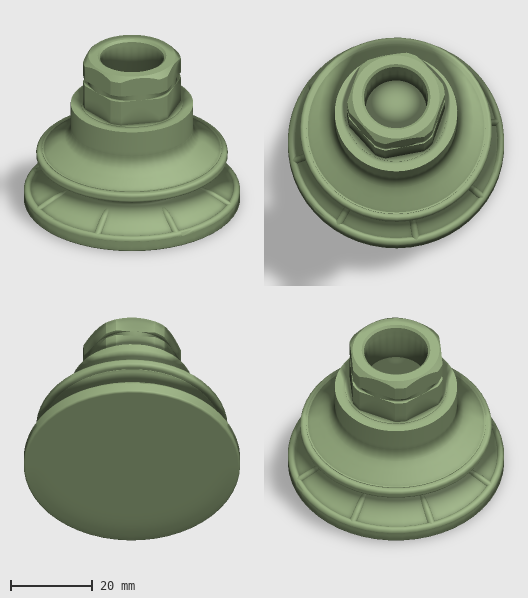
import cadquery as cq
import math

LIP_RADIUS = 26.5
LIP_BOTTOM_FILLET = 0.5
LIP_BEAD_RADIUS = 1.0
LIP_BEAD_CENTRE_Z = 2.77
LIP_CREASE_RADIUS = 24.8

NECK_RADIUS = 15.9
NECK_FILLET = 0.75
NECK_Z = 8.04
NECK_LOWER_ANGLE = 20.0

RIM_RADIUS = 23.45
RIM_FILLET = 0.8
RIM_BOTTOM_Z = 11.85
RIM_TOP_Z = 14.2
RIM_ROOT_RADIUS = 22.0
RIM_ROOT_Z = 11.75

SHOULDER_STEP_RADIUS = 22.0
SHOULDER_STEP_Z = 14.4
SHOULDER_FOOT_RADIUS = 21.6
SHOULDER_ANGLE = 33.5

COLLAR_RADIUS = 15.0
COLLAR_TOP_Z = 27.05
COLLAR_FILLET = 3.0

RIB_COUNT = 8
RIB_RADIUS = 0.93
RIB_BEND_RADIUS = 23.45
RIB_BEND_Z = 4.94
RIB_SLOPE = 27.5
RIB_CURVE_RADIUS = 19.0
RIB_CURVE_SPAN = 18.0
RIB_STRAIGHT_LENGTH = 2.7

TOTAL_HEIGHT = 40.24
FLANGE_DIAMETER = 25.0
FLANGE_TOP_Z = 27.2
HEX_ACROSS_FLATS = 22.0
HEX_FLAT_PAIRS = 3
HEX_CORNER_DIAMETER = 24.0
HEX_TOP_DIAMETER = 21.3
HEX_CHAMFER_HEIGHT = 1.24
GROOVE_DIAMETER = 22.0
GROOVE_BOTTOM_Z = 33.7
GROOVE_TOP_Z = 35.2

BORE_MOUTH_DIAMETER = 16.8
BORE_TOP_DIAMETER = 15.7
BORE_BOTTOM_DIAMETER = 14.95
BORE_MOUTH_DEPTH = 0.5
BORE_TAPER_DEPTH = 9.8
BORE_DEPTH = 10.5

DISC_DIAMETER = 10.3
DISC_THICKNESS = 1.0

collar_fillet_reach = COLLAR_FILLET * math.tan(math.radians(90 - SHOULDER_ANGLE) / 2)
collar_corner_z = SHOULDER_STEP_Z + (
    (SHOULDER_FOOT_RADIUS - COLLAR_RADIUS) * math.tan(math.radians(SHOULDER_ANGLE))
)
collar_fillet_top_z = collar_corner_z + collar_fillet_reach
bore_floor_z = TOTAL_HEIGHT - BORE_DEPTH


def neck_point(angle):
    """Point on the neck arc; 180 degrees is the waist, larger angles are lower down."""
    centre_radius = NECK_RADIUS + NECK_FILLET
    return (
        centre_radius + NECK_FILLET * math.cos(math.radians(angle)),
        NECK_Z + NECK_FILLET * math.sin(math.radians(angle)),
    )


def neck_upper_angle():
    """Angle on the neck arc where the line to the root of the rim is tangent."""
    run = RIM_ROOT_RADIUS - NECK_RADIUS - NECK_FILLET
    rise = RIM_ROOT_Z - NECK_Z
    to_root = math.degrees(math.atan2(rise, run))
    return to_root + math.degrees(math.acos(NECK_FILLET / math.hypot(run, rise)))


def arc_about(profile, centre, radius, start, end):
    """Draw an arc about a centre, from the current point at angle start to angle end."""
    def point(angle):
        return (
            centre[0] + radius * math.cos(math.radians(angle)),
            centre[1] + radius * math.sin(math.radians(angle)),
        )
    return profile.threePointArc(point((start + end) / 2), point(end))


def make_bellows():
    rim_centre_radius = RIM_RADIUS - RIM_FILLET
    profile = cq.Workplane("XZ").lineTo(LIP_RADIUS - LIP_BOTTOM_FILLET, 0)
    profile = arc_about(
        profile, (LIP_RADIUS - LIP_BOTTOM_FILLET, LIP_BOTTOM_FILLET), LIP_BOTTOM_FILLET, -90, 0
    )
    bead_centre_radius = LIP_RADIUS - LIP_BEAD_RADIUS
    crease_angle = math.degrees(
        math.acos((LIP_CREASE_RADIUS - bead_centre_radius) / LIP_BEAD_RADIUS)
    )
    crease_z = LIP_BEAD_CENTRE_Z + LIP_BEAD_RADIUS * math.sin(math.radians(crease_angle))
    profile = profile.lineTo(LIP_RADIUS, LIP_BEAD_CENTRE_Z)
    profile = arc_about(
        profile, (bead_centre_radius, LIP_BEAD_CENTRE_Z), LIP_BEAD_RADIUS, 0, crease_angle
    )
    neck_start = 270 - NECK_LOWER_ANGLE
    skirt_end = neck_point(neck_start)
    skirt_chord = (LIP_CREASE_RADIUS - skirt_end[0], skirt_end[1] - crease_z)
    chord_angle = math.degrees(math.atan2(skirt_chord[1], skirt_chord[0]))
    skirt_bulge = (
        math.hypot(*skirt_chord) / 2 * math.tan(math.radians(chord_angle - NECK_LOWER_ANGLE) / 2)
    )
    profile = profile.sagittaArc(skirt_end, -skirt_bulge)
    profile = profile.threePointArc(neck_point(180), neck_point(neck_upper_angle()))
    profile = (
        profile.lineTo(RIM_ROOT_RADIUS, RIM_ROOT_Z)
        .lineTo(RIM_ROOT_RADIUS, RIM_BOTTOM_Z)
        .lineTo(rim_centre_radius, RIM_BOTTOM_Z)
    )
    profile = arc_about(profile, (rim_centre_radius, RIM_BOTTOM_Z + RIM_FILLET), RIM_FILLET, -90, 0)
    profile = profile.lineTo(RIM_RADIUS, RIM_TOP_Z - RIM_FILLET)
    profile = arc_about(profile, (rim_centre_radius, RIM_TOP_Z - RIM_FILLET), RIM_FILLET, 0, 90)
    profile = (
        profile.lineTo(SHOULDER_STEP_RADIUS, RIM_TOP_Z)
        .lineTo(SHOULDER_STEP_RADIUS, SHOULDER_STEP_Z)
        .lineTo(SHOULDER_FOOT_RADIUS, SHOULDER_STEP_Z)
        .lineTo(
            COLLAR_RADIUS + collar_fillet_reach * math.cos(math.radians(SHOULDER_ANGLE)),
            collar_corner_z - collar_fillet_reach * math.sin(math.radians(SHOULDER_ANGLE)),
        )
        .tangentArcPoint((COLLAR_RADIUS, collar_fillet_top_z), relative=False)
        .lineTo(COLLAR_RADIUS, COLLAR_TOP_Z)
        .lineTo(0, COLLAR_TOP_Z)
        .close()
    )
    return profile.revolve(360, (0, 0, 0), (0, 1, 0))


def make_rib():
    """Round bar along +X whose crest rises out of the skirt, curved then straight."""
    slope = math.radians(RIB_SLOPE)
    normal = (math.sin(slope), math.cos(slope))
    bend = (RIB_BEND_RADIUS - RIB_RADIUS * normal[0], RIB_BEND_Z - RIB_RADIUS * normal[1])
    outer_end = (
        bend[0] + RIB_STRAIGHT_LENGTH * math.cos(slope),
        bend[1] - RIB_STRAIGHT_LENGTH * math.sin(slope),
    )
    axis_curve_radius = RIB_CURVE_RADIUS - RIB_RADIUS
    centre = (bend[0] - axis_curve_radius * normal[0], bend[1] - axis_curve_radius * normal[1])
    bend_angle = 90 - RIB_SLOPE
    path = cq.Workplane("XZ").moveTo(*outer_end).lineTo(*bend)
    path = arc_about(path, centre, axis_curve_radius, bend_angle, bend_angle + RIB_CURVE_SPAN)
    end_plane = cq.Plane(
        origin=(outer_end[0], 0, outer_end[1]),
        xDir=(0, 1, 0),
        normal=(-math.cos(slope), 0, math.sin(slope)),
    )
    return cq.Workplane(end_plane).circle(RIB_RADIUS).sweep(path)


def make_cup():
    cup = make_bellows()
    rib = make_rib()
    for i in range(RIB_COUNT):
        cup = cup.union(rib.rotate((0, 0, 0), (0, 0, 1), i * 360 / RIB_COUNT))
    socket = (
        cq.Workplane("XY", origin=(0, 0, collar_fillet_top_z))
        .circle(FLANGE_DIAMETER / 2)
        .extrude(COLLAR_TOP_Z - collar_fillet_top_z)
    )
    return cup.cut(socket)


def make_hex_envelope():
    """Turned outline of the hexagon: corner diameter, groove and top chamfer."""
    corner_radius = HEX_CORNER_DIAMETER / 2
    groove_radius = GROOVE_DIAMETER / 2
    return (
        cq.Workplane("XZ")
        .moveTo(0, FLANGE_TOP_Z)
        .lineTo(corner_radius, FLANGE_TOP_Z)
        .lineTo(corner_radius, GROOVE_BOTTOM_Z)
        .lineTo(groove_radius, GROOVE_BOTTOM_Z)
        .lineTo(groove_radius, GROOVE_TOP_Z)
        .lineTo(corner_radius, GROOVE_TOP_Z)
        .lineTo(corner_radius, TOTAL_HEIGHT - HEX_CHAMFER_HEIGHT)
        .lineTo(HEX_TOP_DIAMETER / 2, TOTAL_HEIGHT)
        .lineTo(0, TOTAL_HEIGHT)
        .close()
        .revolve(360, (0, 0, 0), (0, 1, 0))
    )


def make_bore():
    """Chamfered mouth, slight taper, short straight end and the seat of the disc."""
    bottom_radius = BORE_BOTTOM_DIAMETER / 2
    disc_radius = DISC_DIAMETER / 2
    return (
        cq.Workplane("XZ")
        .moveTo(0, TOTAL_HEIGHT)
        .lineTo(BORE_MOUTH_DIAMETER / 2, TOTAL_HEIGHT)
        .lineTo(BORE_TOP_DIAMETER / 2, TOTAL_HEIGHT - BORE_MOUTH_DEPTH)
        .lineTo(bottom_radius, TOTAL_HEIGHT - BORE_TAPER_DEPTH)
        .lineTo(bottom_radius, bore_floor_z)
        .lineTo(disc_radius, bore_floor_z)
        .lineTo(disc_radius, bore_floor_z - DISC_THICKNESS)
        .lineTo(0, bore_floor_z - DISC_THICKNESS)
        .close()
        .revolve(360, (0, 0, 0), (0, 1, 0))
    )


def make_fitting():
    foot = (
        cq.Workplane("XY", origin=(0, 0, collar_fillet_top_z))
        .circle(FLANGE_DIAMETER / 2)
        .extrude(FLANGE_TOP_Z - collar_fillet_top_z)
    )
    hexagon = make_hex_envelope()
    slab = cq.Workplane("XY").box(
        HEX_ACROSS_FLATS, 2 * HEX_CORNER_DIAMETER, TOTAL_HEIGHT, centered=(True, True, False)
    )
    for i in range(HEX_FLAT_PAIRS):
        hexagon = hexagon.intersect(slab.rotate((0, 0, 0), (0, 0, 1), i * 180 / HEX_FLAT_PAIRS))
    return foot.union(hexagon).cut(make_bore())


def make_disc():
    return (
        cq.Workplane("XY", origin=(0, 0, bore_floor_z - DISC_THICKNESS))
        .circle(DISC_DIAMETER / 2)
        .extrude(DISC_THICKNESS)
    )


cup = make_cup()
fitting = make_fitting()
disc = make_disc()

result = cq.Compound.makeCompound([cup.val(), fitting.val(), disc.val()])